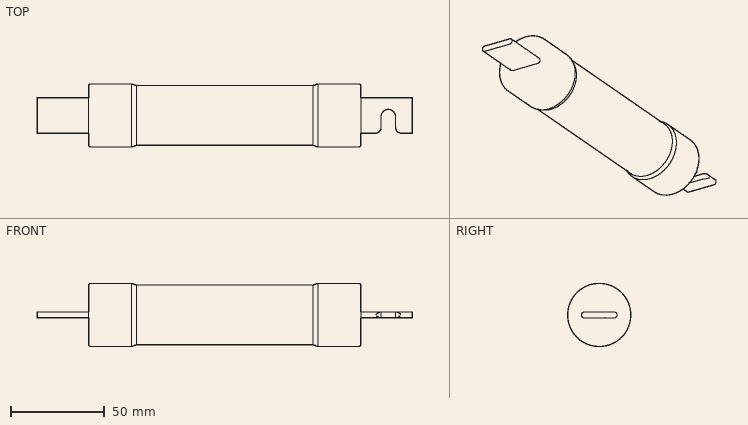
import cadquery as cq

total_length = 199.8
cap_diameter = 33.8
tube_diameter = 32.0
cap_span = 145.0
cap_length = 25.5
rim_taper_length = 2.5
cap_edge_radius = 1.2

blade_width = 19.0
blade_thickness = 3.2

slot_width = 7.5
slot_center_x = 87.0
slot_top_y = 3.2
slot_mouth_radius = 3.2

cap_radius = cap_diameter / 2
tube_radius = tube_diameter / 2
cap_wall = cap_radius - tube_radius
cap_face_x = cap_span / 2
cap_rim_x = cap_face_x - cap_length
tube_end_x = cap_face_x - cap_wall
blade_length = total_length / 2 - cap_face_x


def make_tube():
    """Solid round body whose ends seat against the cap end walls."""
    return (
        cq.Workplane("YZ", origin=(-tube_end_x, 0, 0))
        .circle(tube_radius)
        .extrude(2 * tube_end_x)
    )


def make_cap(side):
    """Cup over one tube end; its open rim tapers down to the tube surface."""
    profile = (
        cq.Workplane("XY")
        .moveTo(side * tube_end_x, 0)
        .lineTo(side * tube_end_x, tube_radius)
        .lineTo(side * cap_rim_x, tube_radius)
        .lineTo(side * (cap_rim_x + rim_taper_length), cap_radius)
        .lineTo(side * cap_face_x, cap_radius)
        .lineTo(side * cap_face_x, 0)
        .close()
    )
    cap = profile.revolve(360, (0, 0, 0), (1, 0, 0))
    outer_face = ">X" if side > 0 else "<X"
    return cap.faces(outer_face).edges().fillet(cap_edge_radius)


def make_blade(side):
    """Flat contact with fully rounded long edges, standing on a cap's outer face."""
    return (
        cq.Workplane("YZ", origin=(side * cap_face_x, 0, 0))
        .slot2D(blade_width, blade_thickness)
        .extrude(side * blade_length)
    )


def make_slot_cutter():
    """Round-ended slot that flares through its mouth on the -Y edge."""
    half_width = slot_width / 2
    left_x = slot_center_x - half_width
    right_x = slot_center_x + half_width
    mouth_y = -blade_width / 2
    arc_start_y = slot_top_y - half_width
    flare_y = mouth_y + slot_mouth_radius
    return (
        cq.Workplane("XY", origin=(0, 0, -blade_thickness / 2))
        .moveTo(left_x - slot_mouth_radius, mouth_y)
        .radiusArc((left_x, flare_y), -slot_mouth_radius)
        .lineTo(left_x, arc_start_y)
        .threePointArc((slot_center_x, slot_top_y), (right_x, arc_start_y))
        .lineTo(right_x, flare_y)
        .radiusArc((right_x + slot_mouth_radius, mouth_y), -slot_mouth_radius)
        .close()
        .extrude(blade_thickness)
    )


tube = make_tube()
caps = [make_cap(side) for side in (-1, 1)]
plain_blade = make_blade(-1)
slotted_blade = make_blade(1).cut(make_slot_cutter())

result = cq.Compound.makeCompound([
    tube.val(),
    *[cap.val() for cap in caps],
    plain_blade.val(),
    *slotted_blade.solids().vals(),
])